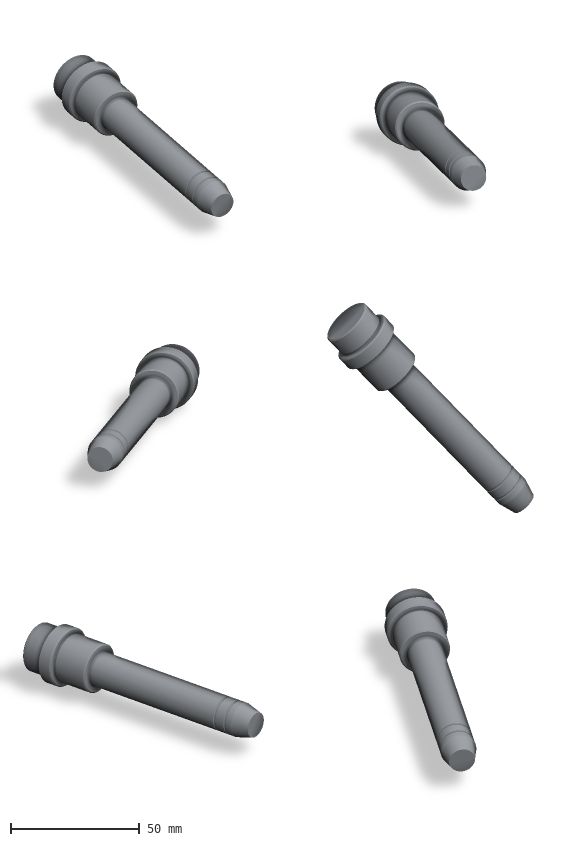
import cadquery as cq
import math

total_length = 106.0
flange_start = 9.0
flange_end = 15.0
body_end = 30.0

head_radius = 20.0 / 2
flange_radius = 24.0 / 2
shaft_radius = 14.0 / 2

edge_chamfer = 0.5
shoulder_fillet = 0.5

relief_width = 1.0
relief_depth = 0.5

ring_groove_starts = (90.5, 95.5)
ring_groove_width = 1.0
ring_groove_depth = 0.5

taper_length = 7.0
taper_angle = 15.0
tip_radius = shaft_radius - taper_length * math.tan(math.radians(taper_angle))


def round_groove(profile, start, width, radius, depth):
    """Run the outline along a cylinder up to a groove and through its rounded bottom."""
    end = start + width
    return profile.lineTo(start, radius).threePointArc(
        ((start + end) / 2, radius - depth), (end, radius)
    )


def add_head(profile):
    """Head cylinder with its chamfered front rim and the relief before the flange."""
    profile = profile.lineTo(0, head_radius - edge_chamfer).lineTo(edge_chamfer, head_radius)
    return round_groove(profile, flange_start - relief_width, relief_width, head_radius, relief_depth)


def add_flange(profile):
    """Locating flange with both rims chamfered."""
    return (
        profile.lineTo(flange_start, flange_radius - edge_chamfer)
        .lineTo(flange_start + edge_chamfer, flange_radius)
        .lineTo(flange_end - edge_chamfer, flange_radius)
        .lineTo(flange_end, flange_radius - edge_chamfer)
    )


def add_body(profile):
    """Relief behind the flange, then the body with its chamfered rim."""
    profile = round_groove(profile, flange_end, relief_width, head_radius, relief_depth)
    return profile.lineTo(body_end - edge_chamfer, head_radius).lineTo(
        body_end, head_radius - edge_chamfer
    )


def add_shaft(profile):
    """Shaft with its shoulder blend, ring grooves and tapered tip."""
    blend_middle = shoulder_fillet * (1 - math.sqrt(0.5))
    profile = profile.lineTo(body_end, shaft_radius + shoulder_fillet).threePointArc(
        (body_end + blend_middle, shaft_radius + blend_middle),
        (body_end + shoulder_fillet, shaft_radius),
    )
    for start in ring_groove_starts:
        profile = round_groove(profile, start, ring_groove_width, shaft_radius, ring_groove_depth)
    return (
        profile.lineTo(total_length - taper_length, shaft_radius)
        .lineTo(total_length, tip_radius)
        .lineTo(total_length, 0)
    )


outline = add_head(cq.Workplane("XY").moveTo(0, 0))
outline = add_flange(outline)
outline = add_body(outline)
outline = add_shaft(outline).close()
result = outline.revolve(360, (0, 0, 0), (1, 0, 0))